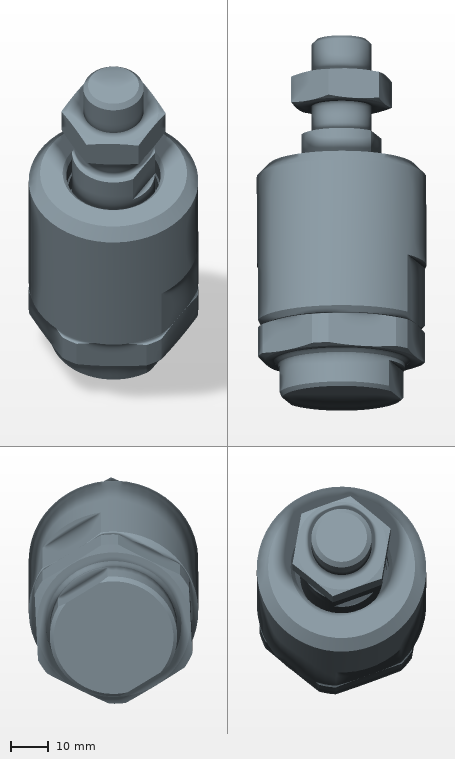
import cadquery as cq
import math

PLUG_FLAT_TOP = 8.0
PLUG_RELIEF_TOP = 9.0
LOCK_NUT_BOTTOM = 10.0
HOUSING_BOTTOM = 19.0
HOUSING_FLAT_TOP = 36.0
PLUG_TOP = 42.0
FLANGE_TOP = 52.0
RING_TOP = 57.0
HOUSING_TOP = 63.0
COLLAR_TOP = 71.0
STUD_NUT_BOTTOM = 79.0
STUD_TOP = 97.0

HOUSING_DIAMETER = 45.0
HOUSING_TOP_CHAMFER = 3.0
HOUSING_BOTTOM_CHAMFER = 1.5
WRENCH_SIZE = 41.0
OPENING_DIAMETER = 25.0
OPENING_CHAMFER = 1.0
CHAMBER_DIAMETER = 34.5

THREAD_DIAMETER = 36.0
PLUG_DIAMETER = 33.8
PLUG_CHAMFER = 1.0
PLUG_FLAT_WIDTH = 30.0

RING_BORE = 24.0

SHANK_DIAMETER = 16.0
SHANK_CHAMFER = 1.25
SHANK_FILLET = 0.6
COLLAR_DIAMETER = 22.0
COLLAR_FLAT_WIDTH = 19.0
FLANGE_DIAMETER = 32.0

STUD_NUT_SIZE = 24.0
STUD_NUT_HEIGHT = 8.0
LOCK_NUT_HEIGHT = HOUSING_BOTTOM - LOCK_NUT_BOTTOM
NUT_FACE_RATIO = 0.995
NUT_CHAMFER_ANGLE = 15.0
HEX_HALF_ANGLE = 30.0


def cylinder(diameter, bottom, top):
    return cq.Workplane("XY").workplane(offset=bottom).circle(diameter / 2).extrude(top - bottom)


def slab(width, bottom, top):
    """Block with faces at +-width/2 in X, wider than any body in Y."""
    length = 2 * HOUSING_DIAMETER
    return cq.Workplane("XY").workplane(offset=bottom).rect(width, length).extrude(top - bottom)


def cut_flats(body, width, bottom, top):
    """Cut two parallel flats, one on each X side, between two heights."""
    sides = slab(2 * HOUSING_DIAMETER, bottom, top).cut(slab(width, bottom, top))
    return body.cut(sides)


def across_corners(size):
    """Corner-to-corner width of a hexagon from its width across flats."""
    return size / math.cos(math.radians(HEX_HALF_ANGLE))


def hex_nut(size, bottom, height, bore, outer_diameter):
    """Hexagon nut with flats facing +-X, coned at both ends around a round face."""
    face_radius = NUT_FACE_RATIO * size / 2
    outer_radius = outer_diameter / 2
    drop = (outer_radius - face_radius) * math.tan(math.radians(NUT_CHAMFER_ANGLE))
    prism = (
        cq.Workplane("XY")
        .polygon(6, across_corners(size))
        .extrude(height)
        .rotate((0, 0, 0), (0, 0, 1), HEX_HALF_ANGLE)
    )
    envelope = (
        cq.Workplane("XZ")
        .moveTo(bore / 2, 0)
        .lineTo(face_radius, 0)
        .lineTo(outer_radius, drop)
        .lineTo(outer_radius, height - drop)
        .lineTo(face_radius, height)
        .lineTo(bore / 2, height)
        .close()
        .revolve(360, (0, 0, 0), (0, 1, 0))
    )
    return prism.intersect(envelope).translate((0, 0, bottom))


def make_housing():
    body = cylinder(HOUSING_DIAMETER, HOUSING_BOTTOM, HOUSING_TOP)
    body = body.faces(">Z").chamfer(HOUSING_TOP_CHAMFER)
    body = body.faces("<Z").chamfer(HOUSING_BOTTOM_CHAMFER)
    body = cut_flats(body, WRENCH_SIZE, HOUSING_BOTTOM, HOUSING_FLAT_TOP)
    body = body.cut(cylinder(OPENING_DIAMETER, RING_TOP, HOUSING_TOP))
    opening_rim = cq.selectors.RadiusNthSelector(0)
    body = body.faces(">Z").edges(opening_rim).chamfer(OPENING_CHAMFER)
    body = body.cut(cylinder(CHAMBER_DIAMETER, PLUG_TOP, RING_TOP))
    return body.cut(cylinder(THREAD_DIAMETER, HOUSING_BOTTOM, PLUG_TOP))


def make_plug():
    """Threaded plug closing the housing; its lower end is relieved and has two flats."""
    lower = cylinder(PLUG_DIAMETER, 0, PLUG_RELIEF_TOP).faces("<Z").chamfer(PLUG_CHAMFER)
    lower = cut_flats(lower, PLUG_FLAT_WIDTH, 0, PLUG_FLAT_TOP)
    thread_chamfer = (THREAD_DIAMETER - PLUG_DIAMETER) / 2
    thread = cylinder(THREAD_DIAMETER, PLUG_RELIEF_TOP, PLUG_TOP).faces("<Z").chamfer(thread_chamfer)
    return lower.union(thread)


def make_seat_ring():
    return cylinder(CHAMBER_DIAMETER, FLANGE_TOP, RING_TOP).cut(cylinder(RING_BORE, FLANGE_TOP, RING_TOP))


def make_stud():
    """Stud held in the housing by its flange, with wrench flats on the collar."""
    collar = cylinder(COLLAR_DIAMETER, FLANGE_TOP, COLLAR_TOP)
    collar = cut_flats(collar, COLLAR_FLAT_WIDTH, HOUSING_TOP, COLLAR_TOP)
    shank = cylinder(SHANK_DIAMETER, COLLAR_TOP, STUD_TOP).faces(">Z").chamfer(SHANK_CHAMFER)
    stud = collar.union(shank)
    shank_root = cq.selectors.NearestToPointSelector((0, 0, COLLAR_TOP))
    stud = stud.edges("%CIRCLE").edges(shank_root).fillet(SHANK_FILLET)
    return stud.union(cylinder(FLANGE_DIAMETER, PLUG_TOP, FLANGE_TOP))


housing = make_housing()
plug = make_plug()
seat_ring = make_seat_ring()
stud = make_stud()
stud_nut = hex_nut(
    STUD_NUT_SIZE,
    STUD_NUT_BOTTOM,
    STUD_NUT_HEIGHT,
    SHANK_DIAMETER,
    across_corners(STUD_NUT_SIZE),
)
lock_nut = hex_nut(
    WRENCH_SIZE,
    LOCK_NUT_BOTTOM,
    LOCK_NUT_HEIGHT,
    THREAD_DIAMETER,
    HOUSING_DIAMETER,
)

result = cq.Compound.makeCompound(
    [housing.val(), plug.val(), seat_ring.val(), stud.val(), stud_nut.val(), lock_nut.val()]
)